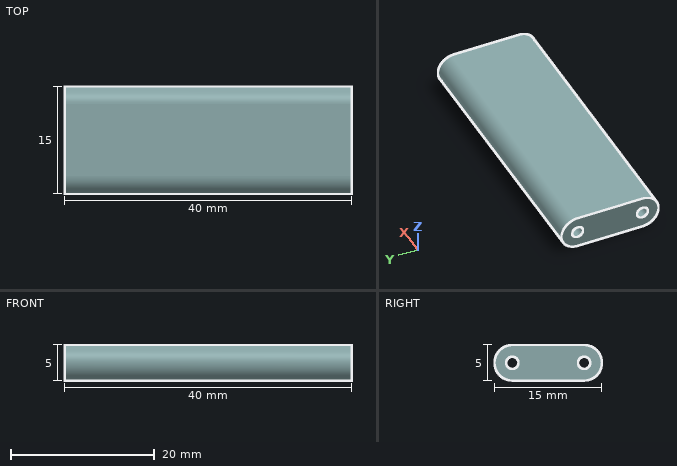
import cadquery as cq

length = 40.0
width = 15.0
thickness = 5.0

hole_diameter = 1.7
hole_spacing = width - thickness

bar = cq.Workplane("YZ").slot2D(width, thickness).extrude(length / 2, both=True)

result = (
    bar.faces("<X")
    .workplane(origin=(0, 0, 0))
    .pushPoints([(-hole_spacing / 2, 0), (hole_spacing / 2, 0)])
    .hole(hole_diameter)
)